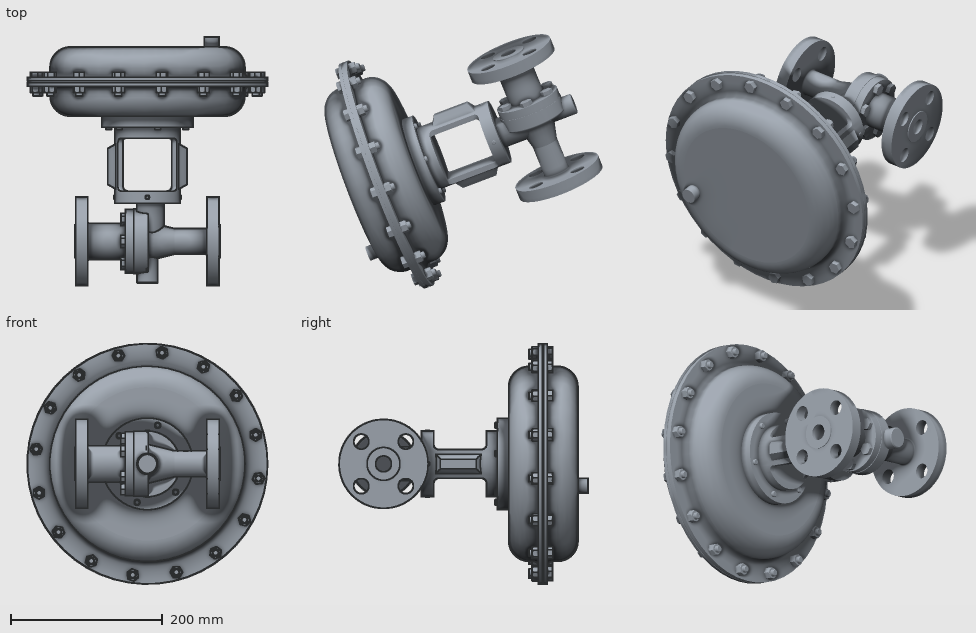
import cadquery as cq
import math


PLATE_R = 158.7
PLATE_BOTTOM = 204.5
PLATE_TOP = 216.2
DIAPHRAGM_BOTTOM = 209.3
DIAPHRAGM_TOP = 211.5
DIAPHRAGM_R = PLATE_R - 0.5
DOME_R = 128.8
DOME_EDGE_R = 27.5
DOME_BOTTOM = 165.0
DOME_TOP = 256.5
DOME_ROOT_R = 6.2

CASING_TURN = 15.0
CASING_BOLTS = 16
BOLT_PITCH = 360 / CASING_BOLTS
CASING_BOLT_CIRCLE = 148.0
CASING_HEX_FLATS = 14.0
CASING_HEAD_HEIGHT = 7.0
HEAD_TURN = BOLT_PITCH
CASING_NUT_HEIGHT = 8.5
NUT_TURN = 15.0
NUT_CHAMFER = 1.15
CASING_STUD_R = 4.5
CASING_STUD_END = 4.5
STUD_CHAMFER = 1.0
PORT_R = 10.0
PORT_TOP = 269.7
PORT_CIRCLE = 89.5
PORT_ANGLE = CASING_TURN - 1.5 * BOLT_PITCH

BOSS_R = 60.5
BOSS_BOTTOM = 150.0
BOSS_BOLTS = 6
BOSS_BOLT_CIRCLE = 52.5
BOSS_BOLT_R = 4.0
BOSS_BOLT_HEIGHT = 3.3

YOKE_R = 43.5
YOKE_BOTTOM = 50.0
WINDOW_BOTTOM = 66.5
WINDOW_TOP = 135.7
WINDOW_HALF_WIDTH = 32.0
WINDOW_TOP_CORNER_R = 2.3
WINDOW_BOTTOM_CORNER_R = 6.0
COLUMN_HALF_DEPTH = 19.0
COLUMN_ROOT_R = 6.5
PAD_REACH = 52.5
PAD_TOP = 128.8
PAD_BOTTOM = 68.7
PAD_HALF_DEPTH = 12.8
PAD_TAPER = 30.0
SET_SCREW_R = 2.8
SET_SCREW_REACH = 1.0
SET_SCREW_CHAMFER = 0.5

NECK_R = 22.5
NECK_FLAT = 14.0
PLUG_R = 13.8
PLUG_BOTTOM = -55.5
PLUG_CHAMFER = 1.3
COVER_R = 42.5
COVER_START = -29.0
COVER_JOINT = -17.7
COVER_END = 1.3
COVER_EDGE_R = 2.5
JOINT_STEP = 0.5
COVER_BOLTS = 6
COVER_BOLT_CIRCLE = 33.5
COVER_HEX_FLATS = 14.0
COVER_HEAD_HEIGHT = 6.0
INLET_R = 24.0
OUTLET_R = 17.0
CONE_R = 26.0
CONE_END = 35.8

FLANGE_R = 58.8
FLANGE_OUTER = 94.5
FLANGE_INNER = 78.5
FACE_R = 21.7
FACE_HEIGHT = 1.3
FLANGE_HOLES = 4
FLANGE_HOLE_CIRCLE = 41.5
FLANGE_HOLE_R = 10.0
PIPE_FILLET_R = 1.5
BORE_R = 10.5
BORE_END = COVER_START


def polar(radius, degrees):
    angle = math.radians(degrees)
    return radius * math.cos(angle), radius * math.sin(angle)


def rod(start, direction, radius, length):
    return cq.Workplane(cq.Solid.makeCylinder(radius, length, cq.Vector(*start), cq.Vector(*direction)))


def rod_y(radius, y_from, y_to, x=0.0, z=0.0):
    return rod((x, y_from, z), (0, 1, 0), radius, y_to - y_from)


def rod_x(radius, x_from, x_to, y=0.0, z=0.0):
    return rod((x_from, y, z), (1, 0, 0), radius, x_to - x_from)


def casing():
    inner_r = DOME_R - DOME_EDGE_R
    root_r = DOME_R + DOME_ROOT_R
    diagonal = math.sqrt(0.5)
    edge = inner_r + DOME_EDGE_R * diagonal
    edge_rise = DOME_EDGE_R * (1 - diagonal)
    root = root_r - DOME_ROOT_R * diagonal
    root_rise = DOME_ROOT_R * (1 - diagonal)
    profile = (
        cq.Workplane("XY")
        .moveTo(0, DOME_BOTTOM)
        .lineTo(inner_r, DOME_BOTTOM)
        .threePointArc((edge, DOME_BOTTOM + edge_rise), (DOME_R, DOME_BOTTOM + DOME_EDGE_R))
        .lineTo(DOME_R, PLATE_BOTTOM - DOME_ROOT_R)
        .threePointArc((root, PLATE_BOTTOM - root_rise), (root_r, PLATE_BOTTOM))
        .lineTo(PLATE_R, PLATE_BOTTOM)
        .lineTo(PLATE_R, DIAPHRAGM_BOTTOM)
        .lineTo(DIAPHRAGM_R, DIAPHRAGM_BOTTOM)
        .lineTo(DIAPHRAGM_R, DIAPHRAGM_TOP)
        .lineTo(PLATE_R, DIAPHRAGM_TOP)
        .lineTo(PLATE_R, PLATE_TOP)
        .lineTo(root_r, PLATE_TOP)
        .threePointArc((root, PLATE_TOP + root_rise), (DOME_R, PLATE_TOP + DOME_ROOT_R))
        .lineTo(DOME_R, DOME_TOP - DOME_EDGE_R)
        .threePointArc((edge, DOME_TOP - edge_rise), (inner_r, DOME_TOP))
        .lineTo(0, DOME_TOP)
        .close()
    )
    return profile.revolve(360, (0, 0, 0), (0, 1, 0))


def hexagon(x, z, y_from, y_to, corner_angle):
    across_corners = CASING_HEX_FLATS / math.cos(math.pi / 6)
    prism = cq.Workplane("XZ").polygon(6, across_corners).extrude(y_from - y_to)
    return prism.rotate((0, 0, 0), (0, 1, 0), -corner_angle).translate((x, y_from, z))


def casing_bolt(angle):
    """Head above the plates, nut with bevelled corners and stud end below them."""
    x, z = polar(CASING_BOLT_CIRCLE, angle)
    nut_end = PLATE_BOTTOM - CASING_NUT_HEIGHT
    corner_r = CASING_HEX_FLATS / math.sqrt(3)
    head_top = PLATE_TOP + CASING_HEAD_HEIGHT
    head = hexagon(x, z, DIAPHRAGM_TOP, head_top, angle + HEAD_TURN)
    nut = hexagon(x, z, nut_end, DIAPHRAGM_BOTTOM, angle + NUT_TURN)
    nut = nut.intersect(rod_y(corner_r, nut_end, DIAPHRAGM_BOTTOM, x, z).faces("<Y").chamfer(NUT_CHAMFER))
    stud = rod_y(CASING_STUD_R, nut_end - CASING_STUD_END, head_top, x, z)
    return head.union(nut).union(stud.faces("<Y").chamfer(STUD_CHAMFER))


def port():
    x, z = polar(PORT_CIRCLE, PORT_ANGLE)
    return rod_y(PORT_R, PLATE_TOP, PORT_TOP, x, z)


def boss():
    body = rod_y(BOSS_R, BOSS_BOTTOM, PLATE_BOTTOM)
    for i in range(BOSS_BOLTS):
        x, z = polar(BOSS_BOLT_CIRCLE, CASING_TURN + i * 360 / BOSS_BOLTS)
        bolt = rod_y(BOSS_BOLT_R, BOSS_BOTTOM - BOSS_BOLT_HEIGHT, PLATE_BOTTOM, x, z)
        body = body.union(bolt.faces("<Y").chamfer(STUD_CHAMFER))
    return body


def yoke():
    height = WINDOW_TOP - WINDOW_BOTTOM
    middle = (WINDOW_TOP + WINDOW_BOTTOM) / 2
    body = rod_y(YOKE_R, YOKE_BOTTOM, BOSS_BOTTOM)
    window = (
        cq.Workplane("XY")
        .box(2 * WINDOW_HALF_WIDTH, height, 2 * YOKE_R)
        .edges("|Z and >Y")
        .fillet(WINDOW_TOP_CORNER_R)
        .edges("|Z and <Y")
        .fillet(WINDOW_BOTTOM_CORNER_R)
        .translate((0, middle, 0))
    )
    body = body.cut(window)
    for side in (1, -1):
        relief = (
            cq.Workplane("XY")
            .box(2 * YOKE_R, height, 2 * YOKE_R)
            .edges("|X")
            .fillet(COLUMN_ROOT_R)
            .translate((0, middle, side * (COLUMN_HALF_DEPTH + YOKE_R)))
        )
        body = body.cut(relief)

    pad_height = PAD_TOP - PAD_BOTTOM
    pad_middle = (PAD_TOP + PAD_BOTTOM) / 2
    pad_root = math.sqrt(YOKE_R**2 - PAD_HALF_DEPTH**2)
    pad = (
        cq.Workplane("YZ", origin=(pad_root, pad_middle, 0))
        .rect(pad_height, 2 * PAD_HALF_DEPTH)
        .extrude(PAD_REACH - pad_root, taper=PAD_TAPER)
    )
    pad_base = (
        cq.Workplane("YZ", origin=(WINDOW_HALF_WIDTH, pad_middle, 0))
        .rect(pad_height, 2 * PAD_HALF_DEPTH)
        .extrude(pad_root - WINDOW_HALF_WIDTH)
    )
    pad = pad.union(pad_base)
    body = body.union(pad).union(pad.mirror("YZ"))

    screw_y = (YOKE_BOTTOM + WINDOW_BOTTOM) / 2
    screw_half = YOKE_R + SET_SCREW_REACH
    screw = rod_x(SET_SCREW_R, -screw_half, screw_half, screw_y)
    screw = screw.faces("<X or >X").chamfer(SET_SCREW_CHAMFER)
    return body.union(screw).union(screw.rotate((0, 0, 0), (0, 1, 0), 90))


def neck():
    """Round column with a flat on the inlet side."""
    beyond_flat = (
        cq.Workplane("XY")
        .box(NECK_R, 2 * YOKE_BOTTOM, 2 * NECK_R)
        .translate((-NECK_FLAT - NECK_R / 2, 0, 0))
    )
    return rod_y(NECK_R, 0, YOKE_BOTTOM).cut(beyond_flat)


def flange():
    disc = rod_x(FLANGE_R, FLANGE_INNER, FLANGE_OUTER)
    disc = disc.union(rod_x(FACE_R, FLANGE_INNER, FLANGE_OUTER + FACE_HEIGHT))
    for i in range(FLANGE_HOLES):
        y, z = polar(FLANGE_HOLE_CIRCLE, (i + 0.5) * 360 / FLANGE_HOLES)
        disc = disc.cut(rod_x(FLANGE_HOLE_R, FLANGE_INNER, FLANGE_OUTER, y, z))
    return disc


def run(pipe_r):
    """One flange with its pipe, reaching from the origin toward +X."""
    fillet = rod_x(pipe_r + PIPE_FILLET_R, FLANGE_INNER - PIPE_FILLET_R, FLANGE_INNER)
    ring = cq.Workplane(
        cq.Solid.makeTorus(
            pipe_r + PIPE_FILLET_R,
            PIPE_FILLET_R,
            cq.Vector(FLANGE_INNER - PIPE_FILLET_R, 0, 0),
            cq.Vector(1, 0, 0),
        )
    )
    return flange().union(rod_x(pipe_r, 0, FLANGE_INNER)).union(fillet.cut(ring))


def valve():
    inlet = run(INLET_R).mirror("YZ")
    outlet = run(OUTLET_R)
    cone = cq.Workplane(
        cq.Solid.makeCone(CONE_R, OUTLET_R, CONE_END, cq.Vector(0, 0, 0), cq.Vector(1, 0, 0))
    )
    cover = rod_x(COVER_R, COVER_START, COVER_JOINT)
    seat = rod_x(COVER_R + JOINT_STEP, COVER_JOINT, COVER_END)
    seat = seat.faces(">X").edges().fillet(COVER_EDGE_R)
    plug = rod_y(PLUG_R, PLUG_BOTTOM, 0).faces("<Y").chamfer(PLUG_CHAMFER)
    body = inlet.union(outlet).union(cone).union(cover).union(seat).union(neck()).union(plug)

    across_corners = COVER_HEX_FLATS / math.cos(math.pi / 6)
    for i in range(COVER_BOLTS):
        y, z = polar(COVER_BOLT_CIRCLE, (i + 0.5) * 360 / COVER_BOLTS)
        head = (
            cq.Workplane("YZ", origin=(COVER_START - COVER_HEAD_HEIGHT, y, z))
            .polygon(6, across_corners)
            .extrude(COVER_HEAD_HEIGHT + COVER_JOINT - COVER_START)
        )
        body = body.union(head)

    face = FLANGE_OUTER + FACE_HEIGHT
    bore = rod_x(BORE_R, -face, BORE_END)
    return body.cut(bore).cut(bore.mirror("YZ"))


result = casing()
for bolt_index in range(CASING_BOLTS):
    result = result.union(casing_bolt(CASING_TURN + bolt_index * BOLT_PITCH))
result = result.union(port()).union(boss()).union(yoke()).union(valve())